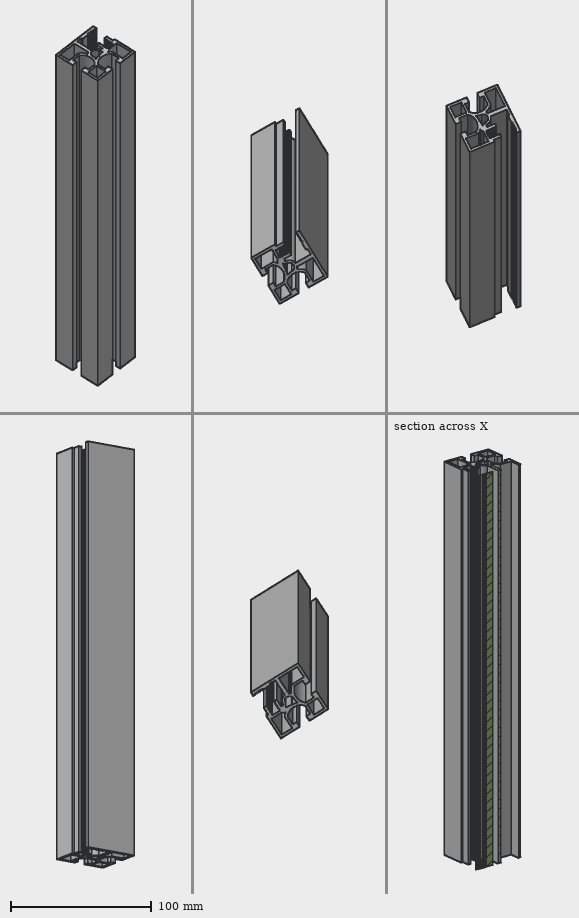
import cadquery as cq
import math

SIDE = 40.0
LENGTH = 300.0
HALF = SIDE / 2
WALL = 2.0
INNER = HALF - WALL

SLOT_MOUTH = 8.0
SLOT_WIDTH = 14.7
SLOT_LIP = 4.2
SLOT_ARC_CENTER = 15.0
SLOT_ARC_RADIUS = 19.0 / 2
SLOT_FLOOR = SLOT_ARC_CENTER - SLOT_ARC_RADIUS
SLOT_WALL = 1.8
SLOT_FLOOR_WALL = 2.15
CASING_HALF_WIDTH = SLOT_WIDTH / 2 + SLOT_WALL
CASING_RADIUS = SLOT_ARC_RADIUS + SLOT_FLOOR_WALL

TUBE_RADIUS = 10.5 / 2
BORE_RADIUS = 3.3
SHELF_TOP = 0.5
SHELF_BOTTOM = -2.5
SHELF_FOOT_LEFT = -4.2

WEB_LEFT = 2.5
WEB_RIGHT = 4.2
ARM_END = -5.7
UPPER_ARM_BOTTOM = 16.0
UPPER_ARM_TOP = 18.3
LOWER_ARM_BOTTOM = 7.2
LOWER_ARM_TOP = 9.5
TOP_WALL_END = 0.3

TOOTH_COUNT = 9
TOOTH_PITCH = (WEB_LEFT - ARM_END) / TOOTH_COUNT
TOOTH_HEIGHT = 0.25

NECK_LEFT = 0.3
NECK_RIGHT = 5.7
NECK_SHOULDER = 7.5
BORE_TIP = (2.7, 4.8)

BAND_FACE = -16.8
BAND_BOTTOM = 5.0
GROOVE_COUNT = 5
GROOVE_PITCH = 1.5
GROOVE_DEPTH = 1.0
FIRST_GROOVE = 11.7


def bar(x_min, x_max, y_min, y_max):
    """Full-length bar over a rectangle of the cross-section."""
    section = cq.Workplane("XY").center((x_min + x_max) / 2, (y_min + y_max) / 2)
    return section.rect(x_max - x_min, y_max - y_min).extrude(LENGTH)


def prism(points):
    """Full-length bar over a closed outline of straight lines."""
    return cq.Workplane("XY").polyline(points).close().extrude(LENGTH)


def rod(radius):
    """Full-length round bar on the profile axis."""
    return cq.Workplane("XY").circle(radius).extrude(LENGTH)


def arc_floored(reach, radius, half_width):
    """Bar on the +X side with straight flanks out to `reach` and an arc as its inner end."""
    flank_start = SLOT_ARC_CENTER - math.sqrt(radius**2 - half_width**2)
    return (
        cq.Workplane("XY")
        .moveTo(reach, -half_width)
        .lineTo(flank_start, -half_width)
        .threePointArc((SLOT_ARC_CENTER - radius, 0), (flank_start, half_width))
        .lineTo(reach, half_width)
        .close()
        .extrude(LENGTH)
    )


def to_lower_side(solid):
    """Turn a solid of the +X side to the -Y side."""
    return solid.rotate((0, 0, 0), (0, 0, 1), -90)


def outer_walls():
    left = bar(-HALF, -INNER, -HALF, HALF)
    bottom = bar(-HALF, HALF, -HALF, -INNER)
    right = bar(INNER, HALF, -HALF, HALF)
    top = bar(TOP_WALL_END, HALF, INNER, HALF)
    return left.union(bottom).union(right).union(top)


def grooved_band():
    band = bar(-HALF, BAND_FACE, BAND_BOTTOM, HALF)
    for index in range(GROOVE_COUNT):
        y = FIRST_GROOVE + index * GROOVE_PITCH
        lower_edge = (BAND_FACE, y - GROOVE_PITCH / 2)
        upper_edge = (BAND_FACE, y + GROOVE_PITCH / 2)
        band = band.cut(prism([lower_edge, (BAND_FACE - GROOVE_DEPTH, y), upper_edge]))
    return band


def screw_tooth(x, face_y, rise):
    """Pointed tooth from x to the next tooth, its tip at `rise` along Y from the arm's face."""
    return prism([(x, face_y), (x + TOOTH_PITCH / 2, face_y + rise), (x + TOOTH_PITCH, face_y)])


def web_and_arms():
    web = bar(WEB_LEFT, WEB_RIGHT, LOWER_ARM_BOTTOM, HALF)
    upper_arm = bar(ARM_END, WEB_RIGHT, UPPER_ARM_BOTTOM, UPPER_ARM_TOP)
    lower_arm = bar(ARM_END, WEB_RIGHT, LOWER_ARM_BOTTOM, LOWER_ARM_TOP)
    wall_root = bar(TOP_WALL_END, WEB_RIGHT, UPPER_ARM_BOTTOM, HALF)
    solid = web.union(upper_arm).union(lower_arm).union(wall_root)
    for index in range(TOOTH_COUNT):
        x = ARM_END + index * TOOTH_PITCH
        solid = solid.union(screw_tooth(x, UPPER_ARM_BOTTOM, -TOOTH_HEIGHT))
        solid = solid.union(screw_tooth(x, LOWER_ARM_TOP, TOOTH_HEIGHT))
    return solid


def core():
    """Tube, shelf and neck, with the pointed bore still bounded only on its upper left."""
    shelf = bar(-HALF, SHELF_FOOT_LEFT, SHELF_BOTTOM, SHELF_TOP)
    foot = bar(SHELF_FOOT_LEFT, 0, -SLOT_FLOOR, SHELF_TOP)
    neck = prism(
        [
            (NECK_LEFT, 0),
            (NECK_LEFT, LOWER_ARM_BOTTOM),
            (WEB_RIGHT, LOWER_ARM_TOP),
            (NECK_RIGHT, NECK_SHOULDER),
            (NECK_RIGHT, 0),
        ]
    )
    bore_spur = prism([(0, 0), (0, BORE_RADIUS), BORE_TIP, (BORE_RADIUS, 0)])
    bore_corner = bar(0, NECK_RIGHT, -SLOT_FLOOR, 0)
    solid = rod(TUBE_RADIUS).union(shelf).union(foot).union(neck)
    return solid.cut(rod(BORE_RADIUS)).cut(bore_spur).cut(bore_corner)


def slot_casing():
    lip = bar(HALF - SLOT_LIP, HALF, -CASING_HALF_WIDTH, CASING_HALF_WIDTH)
    return arc_floored(HALF, CASING_RADIUS, CASING_HALF_WIDTH).union(lip)


def slot_space():
    mouth = bar(SLOT_ARC_CENTER, HALF, -SLOT_MOUTH / 2, SLOT_MOUTH / 2)
    return arc_floored(HALF - SLOT_LIP, SLOT_ARC_RADIUS, SLOT_WIDTH / 2).union(mouth)


profile = outer_walls().union(grooved_band()).union(web_and_arms()).union(core())

profile = profile.union(slot_casing()).union(to_lower_side(slot_casing()))
result = profile.cut(slot_space()).cut(to_lower_side(slot_space()))